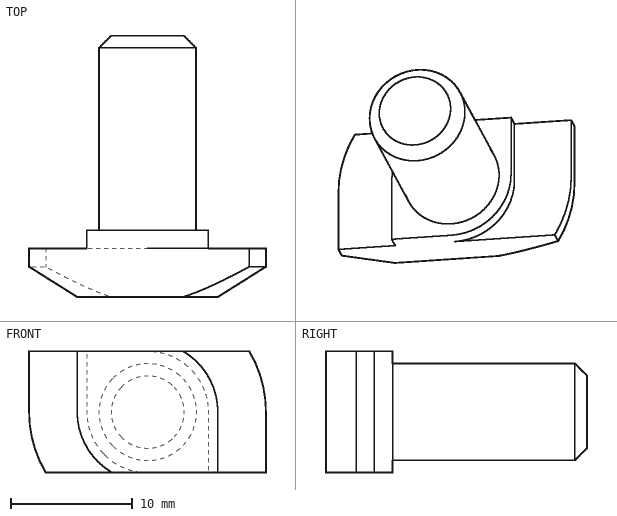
import cadquery as cq

total_length = 21.5
head_length = 19.5
head_width = 10.0
face_length = 11.57
taper_depth = 2.5
head_depth = 4.0
neck_depth = 5.5
shank_diameter = 8.0
tip_chamfer = 1.0

half_length = head_length / 2
half_width = head_width / 2
half_face = face_length / 2


def half_profile():
    """Radial half profile of head and neck; the neck is as wide as the head."""
    return (
        cq.Workplane("XY")
        .polyline([
            (0, 0),
            (half_face, 0),
            (half_length, taper_depth),
            (half_length, head_depth),
            (half_width, head_depth),
            (half_width, neck_depth),
            (0, neck_depth),
        ])
        .close()
    )


def rounded_body():
    """Revolved head and neck, trimmed flat to the head width."""
    turned = half_profile().revolve(360, (0, 0, 0), (0, 1, 0))
    slab = cq.Workplane("XY").box(head_length, neck_depth, head_width)
    return turned.intersect(slab.translate((0, neck_depth / 2, 0)))


def shank():
    """Round shank running from the head face to a chamfered tip."""
    return (
        cq.Workplane("XZ")
        .circle(shank_diameter / 2)
        .extrude(-total_length)
        .faces(">Y")
        .chamfer(tip_chamfer)
    )


square_quadrant = half_profile().extrude(-half_width)
opposite_quadrant = square_quadrant.rotate((0, 0, 0), (0, 1, 0), 180)

result = (
    rounded_body()
    .union(square_quadrant)
    .union(opposite_quadrant)
    .union(shank())
)